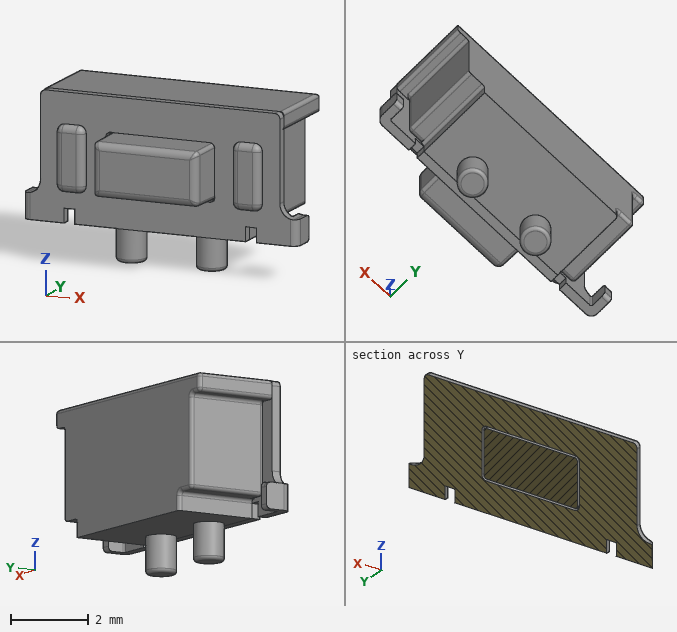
import cadquery as cq
overall_width = 7.8
overall_depth = 3.5
housing_height = 3.5
body_width = 6.8
post_length = 1.0

sheet = 0.25
outer_bend_radius = 0.2
inner_bend_radius = 0.05
tab_depth = 0.75
tab_height = 0.71
tab_corner_radius = 0.125
cover_corner_radius = 0.15
shoulder_radius = 0.4
notch_width = 0.305
notch_height = 0.4
notch_spacing = 5.155
rib_width = 0.8
rib_height = 1.8
rib_depth = 0.2
rib_corner_radius = rib_depth
rib_dome_radius = 0.195
rib_spacing = 5.0

button_width = 3.0
button_height = 1.5
button_reach = 1.0
button_draft = 1.0
button_edge_radius = 0.1
button_front_radius = 0.2
button_clearance = 0.05
button_hole_radius = button_edge_radius + button_clearance

housing_depth = overall_depth - button_reach - sheet
cap_thickness = 0.5
cap_overhang = 0.4
waist_width = body_width - 2 * cap_overhang
foot_height = cap_thickness
foot_width = notch_spacing - notch_width
housing_edge_radius = 0.1

post_diameter = 0.8
post_spacing = 2.28
post_setback = 0.74
post_edge_radius = 0.1

mid_height = housing_height / 2
housing_back = sheet + housing_depth


def block(width, y_front, y_back, z_bottom, z_top):
    """Box centred on X = 0 between the given Y and Z limits."""
    return (
        cq.Workplane("XY")
        .box(width, y_back - y_front, z_top - z_bottom, centered=(True, False, False))
        .translate((0, y_front, z_bottom))
    )


def flared_block(width, z_bottom, z_top):
    """Housing-deep block whose sides flare out in a quarter round to meet a wider block at z_top."""
    flare = housing_edge_radius
    half = width / 2
    return (
        cq.Workplane("XZ", origin=(0, sheet, 0))
        .moveTo(-half, z_bottom)
        .lineTo(half, z_bottom)
        .lineTo(half, z_top - flare)
        .radiusArc((half + flare, z_top), flare)
        .lineTo(half + flare, z_top + flare)
        .lineTo(-half - flare, z_top + flare)
        .lineTo(-half - flare, z_top)
        .radiusArc((-half, z_top - flare), flare)
        .close()
        .extrude(-housing_depth)
    )


def make_housing():
    """Cap over a narrower waist on a still narrower foot."""
    cap_bottom = housing_height - cap_thickness
    cap = block(body_width, sheet, housing_back, cap_bottom, housing_height)
    cap = cap.edges("|Y and <Z").fillet(housing_edge_radius)

    waist = flared_block(waist_width, foot_height, cap_bottom)
    waist = waist.edges("|Y and <Z").fillet(housing_edge_radius)
    waist = waist.faces("<Y").edges("<Z").fillet(housing_edge_radius)

    foot = flared_block(foot_width, 0, foot_height)
    housing = cap.union(waist).union(foot)

    housing = housing.faces(">Y").edges("|Z and <X").fillet(housing_edge_radius)
    return housing.faces(">Z").edges("<X or >X or >Y").fillet(housing_edge_radius)


def make_cover():
    """Sheet cover with side tabs bent back, two domed ribs and a window for the button."""
    cover = block(overall_width, 0, tab_depth, 0, housing_height)
    cover = cover.edges("|Z and <Y").fillet(outer_bend_radius)
    bend_space = block(overall_width - 2 * sheet, sheet, tab_depth, 0, housing_height)
    bend_space = bend_space.edges("|Z and <Y").fillet(inner_bend_radius)
    cover = cover.cut(bend_space)

    half_body = body_width / 2
    half_width = overall_width / 2
    arm = half_body + shoulder_radius
    outline = (
        cq.Workplane("XZ")
        .moveTo(-half_width, 0)
        .lineTo(half_width, 0)
        .lineTo(half_width, tab_height)
        .lineTo(arm, tab_height)
        .radiusArc((half_body, tab_height + shoulder_radius), shoulder_radius)
        .lineTo(half_body, housing_height)
        .lineTo(-half_body, housing_height)
        .lineTo(-half_body, tab_height + shoulder_radius)
        .radiusArc((-arm, tab_height), shoulder_radius)
        .lineTo(-half_width, tab_height)
        .close()
        .extrude(-tab_depth)
        .edges("|Y and >Z")
        .fillet(cover_corner_radius)
    )
    cover = cover.intersect(outline)

    cover = cover.faces(">Y").edges("|X").fillet(tab_corner_radius)

    hole_width = button_width + 2 * button_clearance
    hole_bottom = mid_height - button_height / 2 - button_clearance
    hole_top = mid_height + button_height / 2 + button_clearance
    hole = block(hole_width, 0, sheet, hole_bottom, hole_top)
    cover = cover.cut(hole.edges("|Y").fillet(button_hole_radius))

    rib = block(rib_width, -rib_depth, 0, mid_height - rib_height / 2, mid_height + rib_height / 2)
    rib = rib.edges("|Y").fillet(rib_corner_radius)
    rib = rib.faces("<Y").edges().fillet(rib_dome_radius)
    notch = block(notch_width, 0, sheet, 0, notch_height)
    for side in (-1, 1):
        cover = cover.cut(notch.translate((side * notch_spacing / 2, 0, 0)))
        cover = cover.union(rib.translate((side * rib_spacing / 2, 0, 0)))
    return cover


def make_button():
    """Rounded push button, slightly tapered towards its front, standing on the housing."""
    button = (
        cq.Workplane("XZ", origin=(0, sheet, mid_height))
        .rect(button_width, button_height)
        .extrude(sheet + button_reach, taper=button_draft)
    )
    button = button.faces("<Y").edges().fillet(button_front_radius)
    corners = button.edges("%LINE").edges("not (|X or |Z)")
    return corners.fillet(button_edge_radius)


def make_post(x):
    """Round locating post hanging from the underside of the housing."""
    return (
        cq.Workplane("XY")
        .center(x, post_setback)
        .circle(post_diameter / 2)
        .extrude(-post_length)
        .faces("<Z")
        .edges()
        .fillet(post_edge_radius)
    )


housing = make_housing()
cover = make_cover()
button = make_button()
posts = [make_post(side * post_spacing / 2) for side in (-1, 1)]

result = cq.Compound.makeCompound(
    [housing.val(), cover.val(), button.val(), *[post.val() for post in posts]]
)